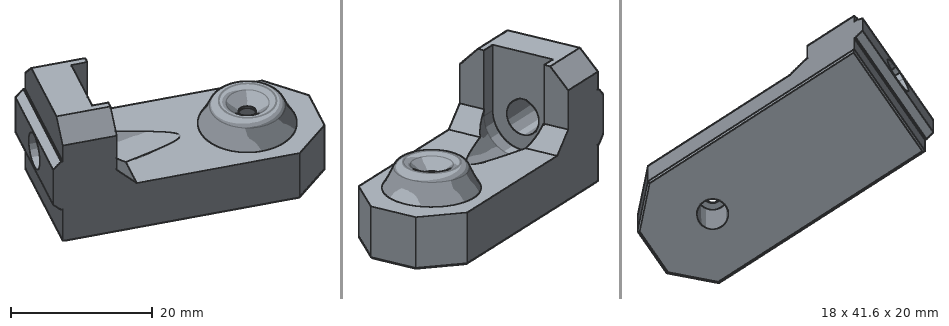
import cadquery as cq
import math

width = 18.0
length = 41.65
height = 20.0
floor_height = 8.05
end_corner = 5.3
bottom_chamfer = 0.3

bar_depth = 1.4
bar_height = 8.45
bar_chamfer = 1.15
wall_back = 9.38
wall_foot = 2.95
wall_corner = 3.0
bore_height = 10.0

bore_diameter = 5.35
bore_crown_height = 2.8
bore_roof_slope = math.radians(30)
seat_diameter = 10.0
seat_front = 7.0
relief_length = 12.1
relief_end_radius = bore_height - floor_height

boss_y = 31.4
boss_base_radius = 7.0
rim_outer_radius = 5.38
rim_outer_height = 11.15
flank_hollow = 0.1
boss_top = 12.0
crest_outer_radius = 4.13
crest_inner_radius = 4.0
rim_inner_radius = 3.05
countersink_angle = math.radians(41)
hole_radius = 1.25
hole_land = 0.38
lower_bore_radius = 2.2


def make_block():
    base = (
        cq.Workplane("XY")
        .box(width, length - bar_depth, floor_height, centered=(True, False, False))
        .translate((0, bar_depth, 0))
        .edges("|Z and >Y")
        .chamfer(end_corner)
        .faces("<Z")
        .chamfer(bottom_chamfer)
    )
    wall = (
        cq.Workplane("YZ")
        .moveTo(bar_depth, bottom_chamfer)
        .lineTo(bar_depth, height)
        .lineTo(wall_back, height)
        .lineTo(wall_back, floor_height + wall_foot)
        .lineTo(wall_back + wall_foot, floor_height)
        .lineTo(wall_back + wall_foot, bottom_chamfer)
        .close()
        .extrude(width / 2, both=True)
        .edges("|Y and >Z")
        .chamfer(wall_corner)
    )
    return base.union(wall)


def make_bar():
    half = bar_height / 2
    face_half = half - bar_chamfer
    return (
        cq.Workplane("YZ")
        .moveTo(wall_back / 2, bore_height - half)
        .lineTo(bar_chamfer, bore_height - half)
        .lineTo(0, bore_height - face_half)
        .lineTo(0, bore_height + face_half)
        .lineTo(bar_chamfer, bore_height + half)
        .lineTo(wall_back / 2, bore_height + half)
        .close()
        .extrude(width / 2, both=True)
    )


def rim_arc_mid(start_radius, end_radius, drop):
    run = end_radius - start_radius
    rim_radius = (run**2 + drop**2) / (2 * drop)
    half_angle = math.asin(abs(run) / rim_radius) / 2
    side = math.copysign(1, run)
    return (
        start_radius + side * rim_radius * math.sin(half_angle),
        boss_top - rim_radius * (1 - math.cos(half_angle)),
    )


def make_boss():
    flank_mid = (
        (boss_base_radius + rim_outer_radius) / 2 - flank_hollow,
        (floor_height + rim_outer_height) / 2,
    )
    inner_drop = (crest_inner_radius - rim_inner_radius) * math.tan(countersink_angle / 2)
    rim_inner_height = boss_top - inner_drop
    land_top = rim_inner_height - (rim_inner_radius - hole_radius) * math.tan(countersink_angle)
    land_bottom = land_top - hole_land
    outer_mid = rim_arc_mid(crest_outer_radius, rim_outer_radius, boss_top - rim_outer_height)
    inner_mid = rim_arc_mid(crest_inner_radius, rim_inner_radius, inner_drop)
    body = (
        cq.Workplane("XZ")
        .moveTo(0, floor_height / 2)
        .lineTo(boss_base_radius, floor_height / 2)
        .lineTo(boss_base_radius, floor_height)
        .threePointArc(flank_mid, (rim_outer_radius, rim_outer_height))
        .threePointArc(outer_mid, (crest_outer_radius, boss_top))
        .lineTo(crest_inner_radius, boss_top)
        .threePointArc(inner_mid, (rim_inner_radius, rim_inner_height))
        .lineTo(hole_radius, land_top)
        .lineTo(0, land_top)
        .close()
        .revolve()
        .translate((0, boss_y, 0))
    )
    hole = cq.Workplane("XY").circle(hole_radius).extrude(height)
    lower_bore = cq.Workplane("XY").circle(lower_bore_radius).extrude(land_bottom)
    return body, hole.union(lower_bore).translate((0, boss_y, 0))


def make_wall_cuts():
    seat_radius = seat_diameter / 2
    bore_radius = bore_diameter / 2
    roof_start_x = bore_radius * math.sin(bore_roof_slope)
    roof_start_z = bore_radius * math.cos(bore_roof_slope)
    crown_half = roof_start_x - (bore_crown_height - roof_start_z) / math.tan(bore_roof_slope)
    bore = (
        cq.Workplane("XZ", origin=(0, 0, bore_height))
        .moveTo(-roof_start_x, roof_start_z)
        .threePointArc((0, -bore_radius), (roof_start_x, roof_start_z))
        .lineTo(crown_half, bore_crown_height)
        .lineTo(-crown_half, bore_crown_height)
        .close()
        .extrude(-wall_back)
    )
    seat_length = wall_back - seat_front
    seat = (
        cq.Workplane("XZ", origin=(0, seat_front, bore_height))
        .circle(seat_radius)
        .extrude(-seat_length)
    )
    open_top = (
        cq.Workplane("XY")
        .box(seat_diameter, seat_length, height, centered=(True, False, False))
        .translate((0, seat_front, bore_height))
    )
    relief = cq.Workplane(
        cq.Solid.makeCone(
            seat_radius,
            relief_end_radius,
            relief_length,
            pnt=cq.Vector(0, wall_back, bore_height),
            dir=cq.Vector(0, 1, 0),
        )
    )
    return bore.union(seat).union(open_top).union(relief)


boss, boss_hole = make_boss()
result = make_block().union(make_bar()).cut(make_wall_cuts()).union(boss).cut(boss_hole)